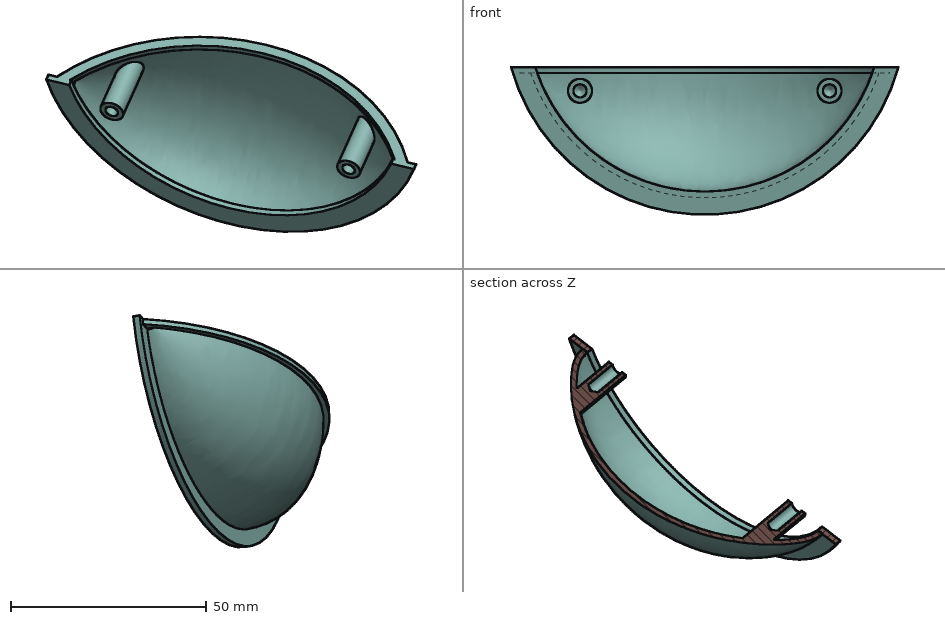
import cadquery as cq
import math

length = 99.3
height = 37.8
depth = 29.2
flange_thickness = 1.8
flange_width = 6.0
plate_thickness = 1.5
plate_width = 3.1
plate_radius = 54.6

shell_thickness = 1.6
tip_clearance = 0.1
sections_per_side = 6

post_spacing = 63.9
post_drop = 6.1
post_diameter = 6.2
hole_diameter = 3.4
hole_depth = 8.9
drill_point_angle = 118.0

flange_radius = ((length / 2) ** 2 + height**2) / (2 * height)
flange_center_z = flange_radius - height
plate_center_y = depth - plate_radius
inner_flange_radius = flange_radius - flange_width
inner_plate_radius = plate_radius - plate_width


def flange_disc(radius):
    return (
        cq.Workplane("XZ")
        .center(0, flange_center_z)
        .circle(radius)
        .extrude(-flange_thickness)
    )


def plate_disc(radius):
    return (
        cq.Workplane("XY")
        .center(0, plate_center_y)
        .circle(radius)
        .extrude(-plate_thickness)
    )


def quadrant(front, top):
    """Block covering everything behind y = front and below z = top."""
    return (
        cq.Workplane("XY")
        .box(2 * length, length, length, centered=(True, False, False))
        .translate((0, front, top - length))
    )


def make_frame():
    flange = flange_disc(flange_radius).cut(flange_disc(inner_flange_radius))
    plate = plate_disc(plate_radius).cut(plate_disc(inner_plate_radius))
    opening = flange_disc(inner_flange_radius)
    return flange.union(plate.cut(opening)).intersect(quadrant(0, 0))


def quarter_ellipse(x, semi_y, semi_z):
    """Closed sector at x, cornered where the flange and the plate meet."""
    corner = cq.Vector(x, flange_thickness, -plate_thickness)
    bottom = corner - cq.Vector(0, 0, semi_z)
    back = corner + cq.Vector(0, semi_y, 0)
    arc = cq.Edge.makeEllipse(
        semi_y, semi_z, corner, cq.Vector(1, 0, 0), cq.Vector(0, 1, 0), 270, 360
    )
    sides = [cq.Edge.makeLine(back, corner), cq.Edge.makeLine(corner, bottom)]
    return cq.Wire.assembleEdges([arc, *sides])


def dome(offset):
    """Dome grown by offset from the inner rim arcs, with quarter-ellipse cross-sections."""
    arc_y = inner_plate_radius + offset
    arc_z = inner_flange_radius + offset
    reach_y = math.sqrt(arc_y**2 - (flange_thickness - plate_center_y) ** 2)
    reach_z = math.sqrt(arc_z**2 - (flange_center_z + plate_thickness) ** 2)
    reach = min(reach_y, reach_z) - tip_clearance
    wires = []
    for index in range(-sections_per_side, sections_per_side + 1):
        x = reach * math.sin(math.pi / 2 * index / sections_per_side)
        semi_y = plate_center_y + math.sqrt(arc_y**2 - x**2) - flange_thickness
        semi_z = math.sqrt(arc_z**2 - x**2) - flange_center_z - plate_thickness
        wires.append(quarter_ellipse(x, semi_y, semi_z))
    return cq.Workplane(cq.Solid.makeLoft(wires))


def make_post(x):
    return (
        cq.Workplane("XZ", origin=(x, 0, -post_drop))
        .circle(post_diameter / 2)
        .extrude(-depth)
    )


def make_hole(x):
    """Blind hole with a conical drill point."""
    radius = hole_diameter / 2
    point_length = radius / math.tan(math.radians(drill_point_angle / 2))
    profile = (
        cq.Workplane("XY", origin=(x, 0, -post_drop))
        .lineTo(radius, 0)
        .lineTo(radius, hole_depth)
        .lineTo(0, hole_depth + point_length)
        .close()
    )
    return profile.revolve(360, (0, 0, 0), (0, 1, 0))


def make_cup():
    outer = dome(shell_thickness)
    cavity = dome(0)
    cup = outer.cut(cavity)
    front_zone = quadrant(0, 0).cut(quadrant(flange_thickness, 0))
    for x in (-post_spacing / 2, post_spacing / 2):
        post = make_post(x)
        cup = cup.union(post.intersect(outer)).union(post.intersect(front_zone))
        cup = cup.cut(make_hole(x))
    return cup


frame = make_frame()
cup = make_cup()

result = cq.Compound.makeCompound([frame.solids().val(), cup.solids().val()])